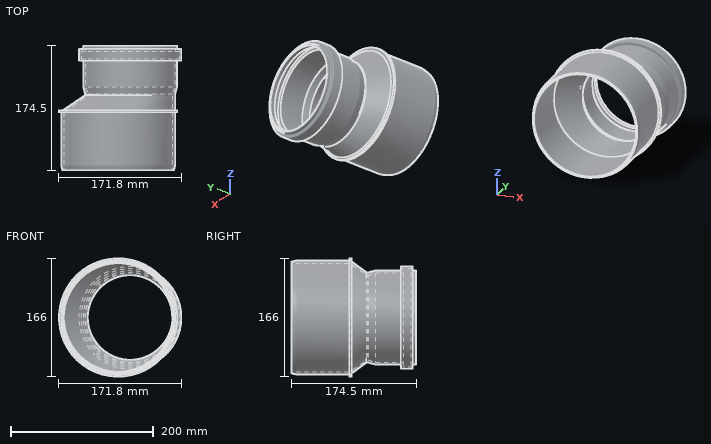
import math

import cadquery as cq


SPIGOT_DIA = 160.2
SPIGOT_WALL = 4.1
SPIGOT_BORE = SPIGOT_DIA - 2 * SPIGOT_WALL
TAPER_ANGLE = math.radians(15)
RIM_TAPER_LENGTH = 7.0
RIM_DIA = SPIGOT_DIA - 2 * RIM_TAPER_LENGTH * math.tan(TAPER_ANGLE)
COLLAR_DIA = 166.0
COLLAR_START = 81.0
COLLAR_WIDTH = 3.2

TOTAL_LENGTH = 174.5
SOCKET_WALL = 3.1
BODY_DIA = 131.9
MOUTH_DIA = 132.2
MOUTH_ROUND = 0.7
NECK_DIA = 126.55
NECK_BORE = NECK_DIA - 2 * SPIGOT_WALL
BODY_START = 117.3
NECK_END = BODY_START - (BODY_DIA - NECK_DIA) / 2 / math.tan(TAPER_ANGLE)
BEAD_DIA = 143.9
BEAD_START = 153.3
BEAD_WIDTH = 16.6
BEAD_END = BEAD_START + BEAD_WIDTH
BEAD_ROUND = 1.2

AXIS_OFFSET = (SPIGOT_DIA - NECK_DIA) / 2
CONE_START = 82.3
CONE_BORE_START = 81.5
CONE_END = 104.8
NECK_START = 106.0
CONE_END_DIA = NECK_DIA + 0.4
CONE_END_BORE = NECK_BORE + 1.3


def turned(profile, axis_x=0.0):
    """Revolve a closed XY profile about the line X = axis_x."""
    return profile.close().revolve(360, (0, 0, 0), (0, 1, 0)).translate((axis_x, 0, 0))


def transition(start_y, spigot_dia, cone_end_dia, neck_dia):
    """Oblique cone followed by a short, steeper lead into the neck, all flush on +X."""
    flush_x = spigot_dia / 2
    sections = [(spigot_dia, start_y), (cone_end_dia, CONE_END), (neck_dia, NECK_START)]
    circles = []
    for dia, y in sections:
        center = cq.Vector(flush_x - dia / 2, y, 0)
        circles.append(cq.Wire.makeCircle(dia / 2, center, cq.Vector(0, 1, 0)))
    return cq.Workplane(obj=cq.Solid.makeLoft(circles, True))


def spigot_outside():
    collar_end = COLLAR_START + COLLAR_WIDTH
    return turned(
        cq.Workplane("XY")
        .moveTo(0, 0)
        .lineTo(RIM_DIA / 2, 0)
        .lineTo(SPIGOT_DIA / 2, RIM_TAPER_LENGTH)
        .lineTo(SPIGOT_DIA / 2, COLLAR_START)
        .lineTo(COLLAR_DIA / 2, COLLAR_START)
        .lineTo(COLLAR_DIA / 2, collar_end)
        .lineTo(0, collar_end)
    )


def socket_outside():
    body_radius = BODY_DIA / 2
    mouth_radius = MOUTH_DIA / 2
    bead_radius = BEAD_DIA / 2
    return turned(
        cq.Workplane("XY")
        .moveTo(0, NECK_START)
        .lineTo(NECK_DIA / 2, NECK_START)
        .lineTo(NECK_DIA / 2, NECK_END)
        .lineTo(body_radius, BODY_START)
        .lineTo(body_radius, BEAD_START - BEAD_ROUND)
        .radiusArc((body_radius + BEAD_ROUND, BEAD_START), BEAD_ROUND)
        .lineTo(bead_radius - BEAD_ROUND, BEAD_START)
        .radiusArc((bead_radius, BEAD_START + BEAD_ROUND), -BEAD_ROUND)
        .lineTo(bead_radius, BEAD_END - BEAD_ROUND)
        .radiusArc((bead_radius - BEAD_ROUND, BEAD_END), -BEAD_ROUND)
        .lineTo(mouth_radius + BEAD_ROUND, BEAD_END)
        .radiusArc((mouth_radius, BEAD_END + BEAD_ROUND), BEAD_ROUND)
        .lineTo(mouth_radius, TOTAL_LENGTH - MOUTH_ROUND)
        .radiusArc((mouth_radius - MOUTH_ROUND, TOTAL_LENGTH), -MOUTH_ROUND)
        .lineTo(0, TOTAL_LENGTH),
        AXIS_OFFSET,
    )


def spigot_bore():
    radius = SPIGOT_BORE / 2
    return turned(
        cq.Workplane("XY")
        .moveTo(0, 0)
        .lineTo(radius, 0)
        .lineTo(radius, CONE_BORE_START)
        .lineTo(0, CONE_BORE_START)
    )


def socket_bore():
    """Neck bore, socket bore and the seal groove inside the bead."""
    body_radius = BODY_DIA / 2 - SOCKET_WALL
    mouth_radius = MOUTH_DIA / 2 - SOCKET_WALL
    groove_radius = BEAD_DIA / 2 - SOCKET_WALL
    groove_start = BEAD_START + SOCKET_WALL
    groove_end = BEAD_END - SOCKET_WALL
    return turned(
        cq.Workplane("XY")
        .moveTo(0, NECK_START)
        .lineTo(NECK_BORE / 2, NECK_START)
        .lineTo(NECK_BORE / 2, NECK_END)
        .lineTo(body_radius, BODY_START)
        .lineTo(body_radius, groove_start)
        .lineTo(groove_radius, groove_start)
        .lineTo(groove_radius, groove_end)
        .lineTo(mouth_radius, groove_end)
        .lineTo(mouth_radius, TOTAL_LENGTH)
        .lineTo(0, TOTAL_LENGTH),
        AXIS_OFFSET,
    )


outside = (
    spigot_outside()
    .union(transition(CONE_START, SPIGOT_DIA, CONE_END_DIA, NECK_DIA))
    .union(socket_outside())
)
bore = (
    spigot_bore()
    .union(transition(CONE_BORE_START, SPIGOT_BORE, CONE_END_BORE, NECK_BORE))
    .union(socket_bore())
)
result = outside.cut(bore)